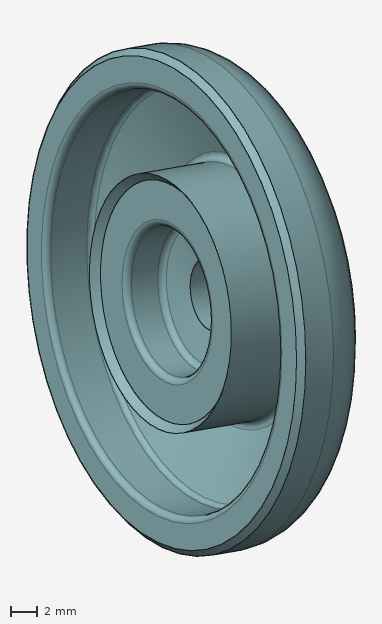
import cadquery as cq

outer_radius = 19.5
height = 12.1

rim_y = 0.1
rim_chamfer = 0.5
straight_side_end_y = 3.1
shoulder_radius, shoulder_y = 17.55, 6.3
shoulder_mid = (18.98, 4.9)

slope_mid = (14.57, 8.05)
slope_top_radius, slope_top_y = 11.03, 9.25
dome_base_radius, dome_base_y = 10.55, 9.47
dome_mid = (7.33, 11.1)
dome_flat_radius = 4.1

cavity_radius = 16.4
cavity_outer_y = 4.2
cavity_inner_y = 6.85

boss_radius = 9.98
boss_face_radius = 9.4
boss_face_y = 0.62

bore_radius = 5.85
bore_outer_y = 3.95
hole_radius = 2.8
hole_edge_y = 4.5

edge_fillet = 0.5


def turned(profile):
    """Revolve an outline of (radius, y) points about the Y axis."""
    return profile.close().revolve(360, (0, 0, 0), (0, 1, 0))


def fillet_circle(body, radius, y, size):
    """Round the circular edge that has this radius and Y position."""
    margin = 0.02
    corner = cq.selectors.BoxSelector(
        (-radius - margin, y - margin, -radius - margin),
        (radius + margin, y + margin, radius + margin),
        boundingbox=True,
    )
    circles = body.edges(corner).edges("%CIRCLE")
    edges = [edge for edge in circles.vals() if abs(edge.radius() - radius) < margin]
    return body.newObject(edges).fillet(size)


def make_blank():
    """Solid outer form with the rim chamfer."""
    profile = (
        cq.Workplane("XY")
        .moveTo(0, rim_y)
        .lineTo(outer_radius - rim_chamfer, rim_y)
        .lineTo(outer_radius, rim_y + rim_chamfer)
        .lineTo(outer_radius, straight_side_end_y)
        .threePointArc(shoulder_mid, (shoulder_radius, shoulder_y))
        .threePointArc(slope_mid, (slope_top_radius, slope_top_y))
        .tangentArcPoint((dome_base_radius, dome_base_y), relative=False)
        .threePointArc(dome_mid, (dome_flat_radius, height))
        .lineTo(0, height)
    )
    return turned(profile)


def make_cavity():
    """Annular space with a conical floor that deepens toward the boss."""
    profile = cq.Workplane("XY").polyline([
        (boss_radius, 0),
        (cavity_radius, 0),
        (cavity_radius, cavity_outer_y),
        (boss_radius, cavity_inner_y),
    ])
    return turned(profile)


def make_lip():
    """Boss rim standing slightly proud of the outer rim."""
    profile = cq.Workplane("XY").polyline([
        (boss_face_radius, boss_face_y),
        (boss_radius, 0),
        (boss_radius, boss_face_y),
    ])
    return turned(profile)


def make_bore():
    """Sunken boss face, bore with conical floor, and through hole."""
    profile = cq.Workplane("XY").polyline([
        (0, 0),
        (boss_radius, 0),
        (boss_face_radius, boss_face_y),
        (bore_radius, boss_face_y),
        (bore_radius, bore_outer_y),
        (hole_radius, hole_edge_y),
        (hole_radius, height),
        (0, height),
    ])
    return turned(profile)


result = make_blank().cut(make_cavity()).cut(make_bore()).union(make_lip())

rounded_edges = [
    (cavity_radius, rim_y),
    (cavity_radius, cavity_outer_y),
    (boss_radius, cavity_inner_y),
    (bore_radius, boss_face_y),
    (bore_radius, bore_outer_y),
]
for edge_radius, edge_y in rounded_edges:
    result = fillet_circle(result, edge_radius, edge_y, edge_fillet)